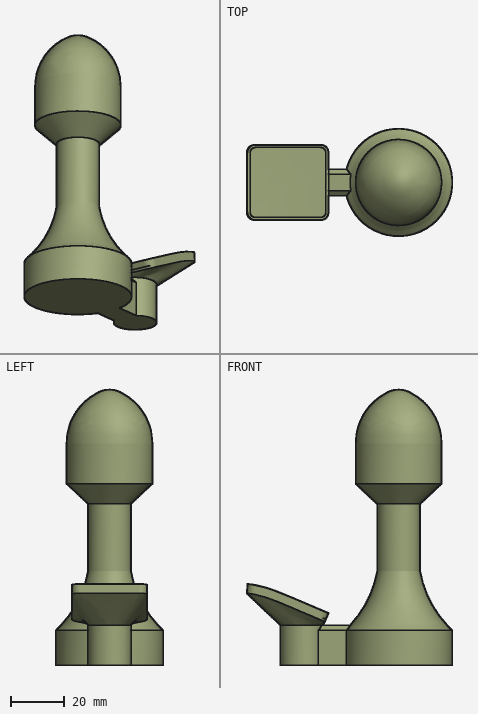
import cadquery as cq
import math

base_radius = 20.0
base_height = 15.0
base_chamfer = 2.0
arm_width = 10.0

stem_radius = 8.0
flare_radius = base_radius - base_chamfer
flare_mid_radius = 11.2
flare_mid_z = 25.0
flare_top = 35.0
stem_top = 60.0

head_radius = 16.0
cone_top = 67.5
dome_bottom = 82.5
dome_top = 101.0
tip_radius = 5.0
tip_top = 102.5

post_radius = 8.0
post_x = -36.0
plate_width = 28.0
plate_thickness = 3.5
plate_corner_radius = 3.0

plate_stations = [
    (-56.13, 30.3, -5.0),
    (-47.9, 28.5, -18.0),
    (-36.8, 24.05, -22.5),
    (-26.0, 19.45, -23.0),
]

rim_width = 1.0

prism_height = 60.0


def make_base():
    disc = cq.Workplane("XY").circle(base_radius).extrude(base_height).faces(">Z").chamfer(base_chamfer)
    arm = (
        cq.Workplane("XY")
        .center(post_x / 2, 0)
        .rect(abs(post_x), arm_width)
        .extrude(base_height)
        .faces(">Z")
        .edges("|X")
        .chamfer(base_chamfer)
    )
    return disc.union(arm)


def dome_midpoint():
    """Middle of the dome arc, which leaves the head's cylinder tangentially."""
    inset = head_radius - tip_radius
    rise = dome_top - dome_bottom
    arc_radius = (inset**2 + rise**2) / (2 * inset)
    half_angle = math.asin(rise / arc_radius) / 2
    return (
        head_radius - arc_radius + arc_radius * math.cos(half_angle),
        dome_bottom + arc_radius * math.sin(half_angle),
    )


def tip_midpoint():
    """A point halfway out on the spherical tip."""
    rise = tip_top - dome_top
    sphere_radius = (tip_radius**2 + rise**2) / (2 * rise)
    radius = tip_radius / 2
    return (radius, tip_top - sphere_radius + math.sqrt(sphere_radius**2 - radius**2))


def make_column():
    """Flare, stem and head, revolved about Z."""
    return (
        cq.Workplane("XZ")
        .moveTo(0, base_height)
        .lineTo(flare_radius, base_height)
        .threePointArc((flare_mid_radius, flare_mid_z), (stem_radius, flare_top))
        .lineTo(stem_radius, stem_top)
        .lineTo(head_radius, cone_top)
        .lineTo(head_radius, dome_bottom)
        .threePointArc(dome_midpoint(), (tip_radius, dome_top))
        .threePointArc(tip_midpoint(), (0, tip_top))
        .close()
        .revolve(360, (0, 0, 0), (0, 1, 0))
    )


def make_band(thickness, width):
    """Curved band of even thickness that hangs below the plate's top curve."""
    top_points = []
    under_points = []
    tangents = []
    for x, z, tilt_degrees in plate_stations:
        tilt = math.radians(tilt_degrees)
        top_points.append(cq.Vector(x, -width / 2, z))
        under_points.append(
            cq.Vector(x + thickness * math.sin(tilt), -width / 2, z - thickness * math.cos(tilt))
        )
        tangents.append(cq.Vector(math.cos(tilt), 0, math.sin(tilt)))
    end_tangents = [tangents[0], tangents[-1]]
    top = cq.Edge.makeSpline(top_points, tangents=end_tangents)
    under = cq.Edge.makeSpline(under_points, tangents=end_tangents)
    left = cq.Edge.makeLine(top_points[0], under_points[0])
    right = cq.Edge.makeLine(top_points[-1], under_points[-1])
    outline = cq.Wire.assembleEdges([top, right, under, left])
    return cq.Solid.extrudeLinear(outline, [], cq.Vector(0, width, 0))


def make_plate():
    """Curved plate with rounded corners."""
    band = cq.Workplane("XY").newObject([make_band(plate_thickness, plate_width)])
    return band.edges("not |Y").edges("%LINE").fillet(plate_corner_radius).solids().val()


def find_under_face(plate):
    """The lower of the plate's two broad faces."""
    broad_faces = sorted(plate.Faces(), key=lambda face: face.Area())[-2:]
    return min(broad_faces, key=lambda face: face.Center().z)


def post_rim_point(angle):
    return cq.Vector(
        post_x + post_radius * math.cos(angle),
        post_radius * math.sin(angle),
        base_height,
    )


def make_spread(under_face):
    """Ruled transition from the round top of the post to the outline of the plate's underside."""
    center = under_face.Center()
    walls = []
    arcs = []
    for outline_edge in under_face.outerWire():
        edge = outline_edge.trim(*outline_edge.bounds())
        ends = (edge.startPoint(), edge.endPoint())
        start, end = [math.atan2(point.y - center.y, point.x - center.x) for point in ends]
        turn = (end - start + math.pi) % (2 * math.pi) - math.pi
        angles = (start, start + turn / 2, end)
        arc = cq.Edge.makeThreePointArc(*[post_rim_point(angle) for angle in angles])
        walls.append(cq.Face.makeRuledSurface(edge, arc))
        arcs.append(arc)
    foot = cq.Face.makeFromWires(cq.Wire.assembleEdges(arcs))
    return cq.Solid.makeSolid(cq.Shell.makeShell([*walls, foot, under_face]))


def make_inlay():
    """Rounded pad inside the plate's rim, flush with its top and one rim width short of its underside."""
    left = plate_stations[0][0] + rim_width
    right = plate_stations[-1][0] - rim_width
    prism = (
        cq.Workplane("XY")
        .center((left + right) / 2, 0)
        .rect(right - left, plate_width - 2 * rim_width)
        .extrude(prism_height)
        .edges("|Z")
        .fillet(plate_corner_radius - rim_width)
    )
    layer = cq.Workplane("XY").newObject([make_band(plate_thickness - rim_width, plate_width)])
    return prism.intersect(layer)


def make_body(inlay):
    """Base, column and thumb rest in one piece, with a recess for the inlay."""
    plate = make_plate()
    post = cq.Workplane("XY").center(post_x, 0).circle(post_radius).extrude(base_height)
    spread = make_spread(find_under_face(plate))
    thumb_rest = cq.Workplane("XY").newObject(post.val().fuse(spread).fuse(plate).Solids())
    return make_base().union(thumb_rest).union(make_column()).cut(inlay)


inlay = make_inlay()
body = make_body(inlay)
result = cq.Compound.makeCompound([body.solids().val(), inlay.solids().val()])